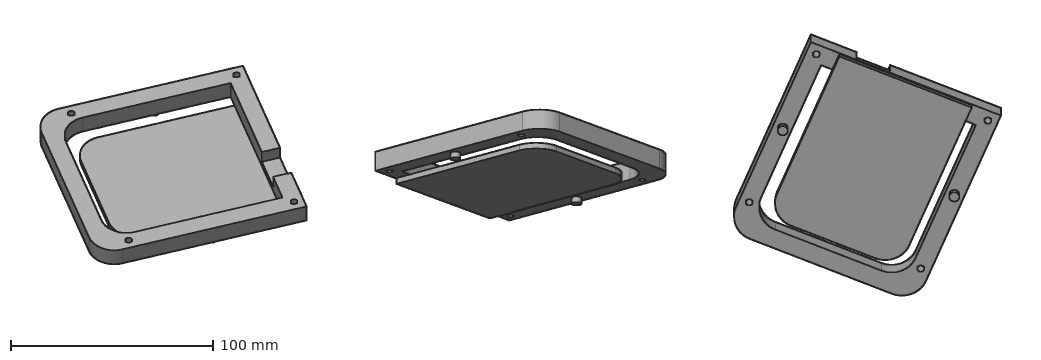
import cadquery as cq

frame_width = 102.0
frame_length = 109.0
frame_height = 10.0
rail_width = 9.5
corner_radius = 13.0

tongue_gap = 6.0
tongue_thickness = 3.0
tongue_back_inset = 0.5

notch_width = 18.0
notch_center_x = 17.5
notch_depth = 7.0

hole_diameter = 3.4
pin_diameter = 5.0
pin_length = tongue_thickness
hole_edge_distance = 5.0
hole_spacing_y = 86.0

back_y = frame_length / 2
front_y = -back_y
opening_width = frame_width - 2 * rail_width
opening_back_y = back_y - rail_width
opening_front_y = front_y + rail_width
tongue_width = opening_width - 2 * tongue_gap
tongue_back_y = back_y - tongue_back_inset
tongue_front_y = opening_front_y + tongue_gap
hole_x = frame_width / 2 - hole_edge_distance
back_hole_y = back_y - hole_edge_distance
front_hole_y = back_hole_y - hole_spacing_y
pin_y = (back_hole_y + front_hole_y) / 2


def front_rounded_plate(width, low_y, high_y, thickness, base_z):
    """Plate centred on X whose two front vertical edges are rounded."""
    return (
        cq.Workplane("XY", origin=(0, (low_y + high_y) / 2, base_z))
        .box(width, high_y - low_y, thickness, centered=(True, True, False))
        .edges("|Z and <Y")
        .fillet(corner_radius)
    )


def make_frame():
    body = front_rounded_plate(frame_width, front_y, back_y, frame_height, 0)
    opening = front_rounded_plate(opening_width, opening_front_y, opening_back_y, frame_height, 0)
    return body.cut(opening)


def make_tongue():
    return front_rounded_plate(
        tongue_width, tongue_front_y, tongue_back_y, tongue_thickness, -tongue_thickness
    )


def make_notch():
    return (
        cq.Workplane("XY", origin=(notch_center_x, back_y - rail_width / 2, frame_height - notch_depth))
        .box(notch_width, rail_width, notch_depth, centered=(True, True, False))
    )


def make_holes():
    centers = [(side * hole_x, y) for side in (-1, 1) for y in (front_hole_y, back_hole_y)]
    return cq.Workplane("XY").pushPoints(centers).circle(hole_diameter / 2).extrude(frame_height)


def make_pins():
    centers = [(side * hole_x, pin_y) for side in (-1, 1)]
    return cq.Workplane("XY").pushPoints(centers).circle(pin_diameter / 2).extrude(-pin_length)


result = (
    make_frame()
    .cut(make_notch())
    .cut(make_holes())
    .union(make_tongue())
    .union(make_pins())
)